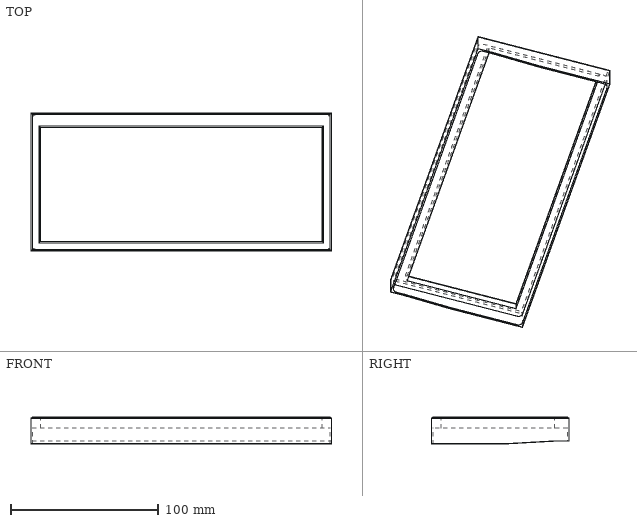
import cadquery as cq

length = 204.5
width = 93.7
height = 18.2

end_rim = 6.5
front_rim = 6.5
back_rim = 9.8
rim_thickness = 7.4

skirt_thickness = 1.0
recess_corner_radius = 2.9

bevel = 1.0

back_rise = 1.8
slope_start_y = 4.0
slope_end_y = 36.8


def outer_block():
    """Solid block with the sloped underside, still without openings."""
    side_outline = [
        (-width / 2, 0),
        (slope_start_y, 0),
        (slope_end_y, back_rise),
        (width / 2, back_rise),
        (width / 2, height),
        (-width / 2, height),
    ]
    return cq.Workplane("YZ").polyline(side_outline).close().extrude(length / 2, both=True)


def opening():
    """Rectangular cutter for the opening inside the rim."""
    opening_length = length - 2 * end_rim
    opening_width = width - front_rim - back_rim
    center_y = (front_rim - back_rim) / 2
    return (
        cq.Workplane("XY")
        .center(0, center_y)
        .rect(opening_length, opening_width)
        .extrude(height)
    )


def underside_recess():
    """Cutter that hollows the frame below the rim, leaving the skirt."""
    return (
        cq.Workplane("XY")
        .rect(length - 2 * skirt_thickness, width - 2 * skirt_thickness)
        .extrude(height - rim_thickness)
        .edges("|Z")
        .fillet(recess_corner_radius)
    )


frame = outer_block().cut(opening())
frame = frame.faces(">Z").edges().chamfer(bevel)
result = frame.cut(underside_recess())